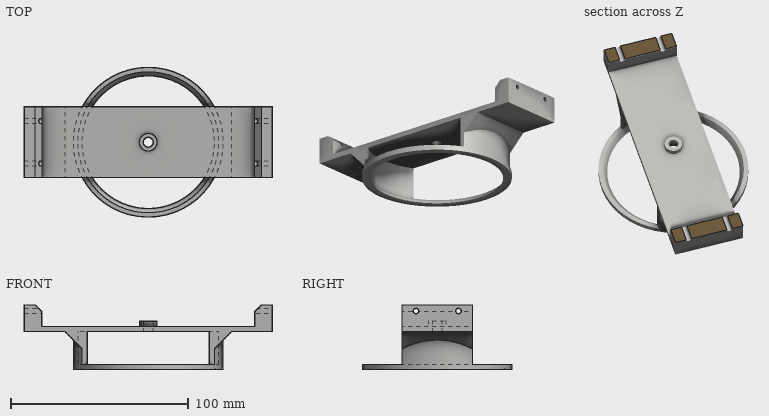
import cadquery as cq

length = 140.0
width = 40.0
plate_thickness = 3.0
plate_bottom = 21.4
plate_top = plate_bottom + plate_thickness

height = 36.5
block_length = 10.0
block_chamfer = 3.8
block_hole_diameter = 3.0
block_hole_spacing = 24.0
block_hole_height = 33.0

boss_diameter = 10.0
boss_height = 3.0
boss_bore = 5.5

ring_diameter = 84.5
ring_top_bore = 79.5
ring_bottom_bore = 74.8
ring_height = 3.0
gusset_reach = 47.0


def centred_box(size_x, size_y, bottom, top):
    return cq.Workplane("XY", origin=(0, 0, bottom)).rect(size_x, size_y).extrude(top - bottom)


def cylinder(diameter, bottom, top):
    return cq.Workplane("XY", origin=(0, 0, bottom)).circle(diameter / 2).extrude(top - bottom)


def make_end_blocks():
    """Two raised blocks, chamfered along their inner top edges."""
    outer_x = length / 2
    inner_x = outer_x - block_length
    profile = [
        (outer_x, plate_bottom),
        (outer_x, height),
        (inner_x + block_chamfer, height),
        (inner_x, height - block_chamfer),
        (inner_x, plate_bottom),
    ]
    block = cq.Workplane("XZ").polyline(profile).close().extrude(width / 2, both=True)
    blocks = block.union(block.mirror("YZ"))
    holes = (
        cq.Workplane("YZ", origin=(0, 0, block_hole_height))
        .pushPoints([(-block_hole_spacing / 2, 0), (block_hole_spacing / 2, 0)])
        .circle(block_hole_diameter / 2)
        .extrude(length, both=True)
    )
    return blocks.cut(holes)


def make_ring():
    """Base ring whose bore widens towards the top."""
    profile = [
        (ring_bottom_bore / 2, 0),
        (ring_diameter / 2, 0),
        (ring_diameter / 2, ring_height),
        (ring_top_bore / 2, ring_height),
    ]
    return cq.Workplane("XZ").polyline(profile).close().revolve(360, (0, 0), (0, 1))


def make_legs():
    """Curved walls below the plate with 45 degree gussets outside them."""
    walls = cylinder(ring_diameter, 0, plate_bottom)
    gusset_profile = [
        (-gusset_reach, plate_bottom),
        (gusset_reach, plate_bottom),
        (gusset_reach - plate_bottom, 0),
        (-gusset_reach + plate_bottom, 0),
    ]
    gussets = cq.Workplane("XZ").polyline(gusset_profile).close().extrude(width / 2, both=True)
    legs = walls.union(gussets).cut(cylinder(ring_top_bore, 0, plate_bottom))
    return legs.intersect(centred_box(length, width, 0, plate_bottom))


plate = centred_box(length, width, plate_bottom, plate_top)
boss = cylinder(boss_diameter, plate_top, plate_top + boss_height)
body = plate.union(make_end_blocks()).union(boss).union(make_ring()).union(make_legs())
result = body.cut(cylinder(boss_bore, plate_bottom, plate_top + boss_height)).clean()